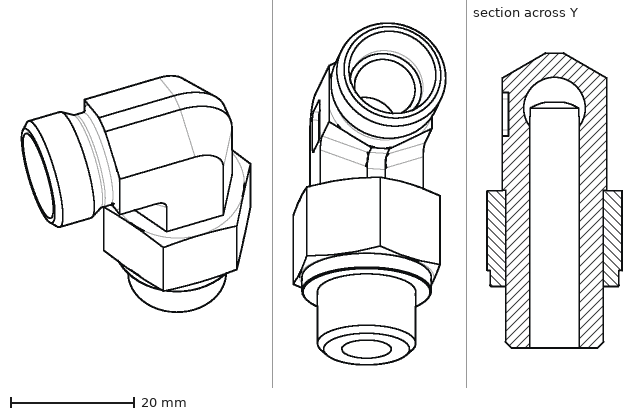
import cadquery as cq
import math

TOP = 48.0
COS30 = math.cos(math.radians(30))
TAN30 = math.tan(math.radians(30))

BAR_WIDTH = 17.0
BAR_HEIGHT = 17.9
INNER_FILLET = 2.0

STUD_D = 16.0
STUD_CHAMFER = 1.0
OUTLET_D = 18.0
OUTLET_AXIS_Z = TOP - OUTLET_D / 2
OUTLET_END = 24.0
OUTLET_CHAMFER = 1.0
SHOULDER_START = 17.55
GROOVE_D = 15.7
GROOVE_START = 12.95
GROOVE_FILLET = 1.0
SHOULDER_ANGLE = math.radians(30)

MOUTH_D = 14.35
SEAT_D = 12.0
SEAT_CONE_ANGLE = math.radians(12)
SEAT_DEPTH = 7.0
OUTLET_BORE_D = 10.0
STUD_BORE_D = 8.0
DRILL_HALF_ANGLE = math.radians(59)

RECESS_SIZE = 7.0
RECESS_CORNER = 1.0
RECESS_DEPTH = 1.0
RECESS_OFFSET = 1.0

NUT_FLATS = 22.0
NUT_BOTTOM = 12.6
NUT_TOP = 25.6
NUT_FACE_D = 21.8
NUT_CHAMFER_ANGLE = math.radians(15)
COLLAR_D = 21.0
COLLAR_BOTTOM = 10.0
COLLAR_CHAMFER = 0.2


def bar_points():
    """Corners of the bar section, counter-clockwise."""
    side = BAR_WIDTH / 2
    end = BAR_HEIGHT / 2
    side_half = side * TAN30
    end_half = (side / COS30 - end) / TAN30
    return [(side, -side_half), (side, side_half), (end_half, end), (-end_half, end),
            (-side, side_half), (-side, -side_half), (-end_half, -end), (end_half, -end)]


def bar_block():
    """Two bar legs with a rounded outer corner and a filleted inside corner."""
    upright = (cq.Workplane("XY", origin=(0, 0, NUT_TOP)).polyline(bar_points()).close()
               .extrude(OUTLET_AXIS_Z - NUT_TOP))
    outlet_plane = cq.Workplane("XZ", origin=(0, 0, OUTLET_AXIS_Z))
    outlet = outlet_plane.polyline(bar_points()).close().extrude(GROOVE_START + GROOVE_FILLET)
    upper_half = [(x, y) for x, y in bar_points() if y > 0]
    half_section = [(BAR_WIDTH / 2, 0)] + upper_half + [(-BAR_WIDTH / 2, 0)]
    bend = (outlet_plane.polyline(half_section).close()
            .revolve(90, (0, 0, 0), (-1, 0, 0)))
    block = upright.union(outlet).union(bend)
    inner_edges = []
    for edge in block.edges().vals():
        ends = [edge.startPoint(), edge.endPoint()]
        if all(p.y < -0.5 and abs(p.z - OUTLET_AXIS_Z - p.y) < 0.005 for p in ends):
            inner_edges.append(edge)
    return block.newObject(inner_edges).fillet(INNER_FILLET)


def revolve_about_outlet(profile):
    """Revolve a (radius, distance) profile about the outlet axis."""
    return (profile.close().revolve(360, (0, 0, 0), (0, 1, 0))
            .rotate((0, 0, 0), (1, 0, 0), 180).translate((0, 0, OUTLET_AXIS_Z)))


def groove_cutter():
    """Ring that rounds the end of the bar down to the groove diameter."""
    radius = GROOVE_D / 2
    end = GROOVE_START + GROOVE_FILLET
    bend_drop = GROOVE_FILLET * (1 - math.cos(math.pi / 4))
    profile = (cq.Workplane("XY").moveTo(radius, end)
               .threePointArc((radius + bend_drop, end - GROOVE_FILLET * math.sin(math.pi / 4)),
                              (radius + GROOVE_FILLET, GROOVE_START))
               .lineTo(BAR_HEIGHT, GROOVE_START).lineTo(BAR_HEIGHT, end))
    return revolve_about_outlet(profile)


def outlet_spigot():
    """Groove, sloped shoulder and chamfered outer cylinder."""
    radius = OUTLET_D / 2
    groove = GROOVE_D / 2
    slope_foot = groove + GROOVE_FILLET * (1 - math.cos(SHOULDER_ANGLE))
    slope_start = SHOULDER_START - (radius - slope_foot) / math.tan(SHOULDER_ANGLE)
    fillet_start = slope_start - GROOVE_FILLET * math.sin(SHOULDER_ANGLE)
    mid_angle = SHOULDER_ANGLE / 2
    fillet_middle = (groove + GROOVE_FILLET * (1 - math.cos(mid_angle)),
                     fillet_start + GROOVE_FILLET * math.sin(mid_angle))
    profile = (cq.Workplane("XY").moveTo(0, GROOVE_START).lineTo(groove, GROOVE_START)
               .lineTo(groove, fillet_start)
               .threePointArc(fillet_middle, (slope_foot, slope_start))
               .lineTo(radius, SHOULDER_START)
               .lineTo(radius, OUTLET_END - OUTLET_CHAMFER)
               .lineTo(radius - OUTLET_CHAMFER, OUTLET_END)
               .lineTo(0, OUTLET_END))
    return revolve_about_outlet(profile)


def outlet_bore():
    """Conical mouth, tube seat and drilled bore with its point past the stud axis."""
    mouth = MOUTH_D / 2
    seat = SEAT_D / 2
    bore = OUTLET_BORE_D / 2
    cone_end = OUTLET_END - (mouth - seat) / math.tan(SEAT_CONE_ANGLE)
    seat_end = OUTLET_END - SEAT_DEPTH
    profile = (cq.Workplane("XY").moveTo(0, OUTLET_END).lineTo(mouth, OUTLET_END)
               .lineTo(seat, cone_end).lineTo(seat, seat_end)
               .lineTo(bore, seat_end).lineTo(bore, 0)
               .lineTo(0, -bore / math.tan(DRILL_HALF_ANGLE)))
    return revolve_about_outlet(profile)


def stud_bore():
    """Drilled bore from the stud end, with its point above the outlet axis."""
    bore = STUD_BORE_D / 2
    return (cq.Workplane("YZ").lineTo(bore, 0).lineTo(bore, OUTLET_AXIS_Z)
            .lineTo(0, OUTLET_AXIS_Z + bore / math.tan(DRILL_HALF_ANGLE))
            .close().revolve(360, (0, 0, 0), (0, 1, 0)))


def side_recess():
    """Rounded square pocket in the -X side flat."""
    center = (-BAR_WIDTH / 2 + RECESS_DEPTH / 2, -RECESS_OFFSET, OUTLET_AXIS_Z - RECESS_OFFSET)
    return (cq.Workplane("XY").box(RECESS_DEPTH, RECESS_SIZE, RECESS_SIZE)
            .edges("|X").fillet(RECESS_CORNER).translate(center))


def make_elbow():
    stud = (cq.Workplane("XY").circle(STUD_D / 2).extrude(NUT_TOP)
            .faces("<Z").chamfer(STUD_CHAMFER))
    body = bar_block().cut(groove_cutter()).union(outlet_spigot()).union(stud)
    return body.cut(outlet_bore()).cut(stud_bore()).cut(side_recess())


def make_nut():
    """Hexagon nut with chamfered corners, a round collar below and a hole for the stud."""
    height = NUT_TOP - NUT_BOTTOM
    corner = NUT_FLATS / 2 / COS30
    face = NUT_FACE_D / 2
    drop = (corner - face) * math.tan(NUT_CHAMFER_ANGLE)
    hexagon = (cq.Workplane("XY", origin=(0, 0, NUT_BOTTOM))
               .polygon(6, 2 * corner).extrude(height)
               .rotate((0, 0, 0), (0, 0, 1), 30))
    envelope = (cq.Workplane("XZ").moveTo(0, NUT_BOTTOM).lineTo(face, NUT_BOTTOM)
                .lineTo(corner, NUT_BOTTOM + drop).lineTo(corner, NUT_TOP - drop)
                .lineTo(face, NUT_TOP).lineTo(0, NUT_TOP)
                .close().revolve(360, (0, 0, 0), (0, 1, 0)))
    collar = (cq.Workplane("XY", origin=(0, 0, COLLAR_BOTTOM)).circle(COLLAR_D / 2)
              .extrude(NUT_BOTTOM - COLLAR_BOTTOM).faces("<Z").chamfer(COLLAR_CHAMFER))
    hole = cq.Workplane("XY").circle(STUD_D / 2).extrude(NUT_TOP)
    return hexagon.intersect(envelope).union(collar).cut(hole)


elbow = make_elbow()
nut = make_nut()
result = cq.Compound.makeCompound([elbow.val(), nut.val()])